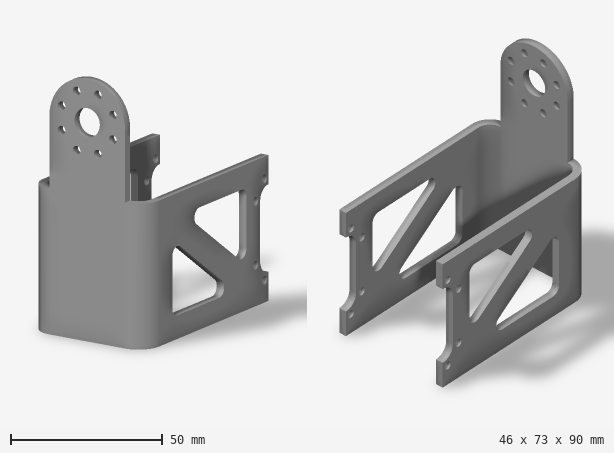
import cadquery as cq

width = 46.0
depth = 73.0
height = 90.0
thickness = 3.0
wall_height = 50.0
bend_radius = 8.0
inner_bend_radius = bend_radius - thickness

tab_width = width - 2 * bend_radius
tab_radius = tab_width / 2
tab_center_z = height - tab_radius
bore_diameter = 10.0
small_hole_diameter = 3.0
bolt_circle_radius = 11.0
bolt_count = 8

mid_z = wall_height / 2
window_corner_radius = 3.0
window_length = 24.8
window_height = 17.8
window_end_margin = 13.05
window_top_margin = 8.1
window_pair_center_y = 38.0

notch_depth = 4.95
notch_height = 30.0
notch_corner_radius = 4.9
wall_holes = [(2.4, 17.4), (7.7, 11.0)]


def make_channel():
    """U-shaped channel, open towards +Y."""
    outer = (
        cq.Workplane("XY")
        .box(width, depth, wall_height, centered=(True, False, False))
        .edges("|Z and <Y")
        .fillet(bend_radius)
    )
    inner = (
        cq.Workplane("XY")
        .box(width - 2 * thickness, depth, wall_height, centered=(True, False, False))
        .edges("|Z and <Y")
        .fillet(inner_bend_radius)
        .translate((0, thickness, 0))
    )
    return outer.cut(inner)


def make_tab():
    """Flat tab continuing the web upwards."""
    return (
        cq.Workplane("XZ")
        .moveTo(-tab_radius, 0)
        .lineTo(tab_radius, 0)
        .lineTo(tab_radius, tab_center_z)
        .threePointArc((0, height), (-tab_radius, tab_center_z))
        .close()
        .extrude(-thickness)
    )


def make_tab_holes():
    """Central bore and its ring of small holes, straddling the vertical axis."""
    tab_plane = cq.Workplane("XZ").center(0, tab_center_z)
    bore = tab_plane.circle(bore_diameter / 2).extrude(-thickness)
    start_angle = 180 / bolt_count
    ring = (
        tab_plane.polarArray(bolt_circle_radius, start_angle, 360, bolt_count)
        .circle(small_hole_diameter / 2)
        .extrude(-thickness)
    )
    return bore.union(ring)


def wall_plane():
    return cq.Workplane("YZ")


def make_windows():
    """Pair of triangular windows cutting through both side walls."""
    corner_y = depth - window_end_margin - window_corner_radius
    corner_z = wall_height - window_top_margin - window_corner_radius
    arc_centers = [
        (corner_y, corner_z),
        (corner_y - window_length, corner_z),
        (corner_y, corner_z - window_height),
    ]
    rear = (
        wall_plane()
        .polyline(arc_centers)
        .close()
        .offset2D(window_corner_radius)
        .extrude(width / 2, both=True)
    )
    pivot = (0, window_pair_center_y, mid_z)
    front = rear.rotate(pivot, (1, window_pair_center_y, mid_z), 180)
    return rear.union(front)


def make_notch():
    """Rounded notch in the free end of both side walls."""
    return (
        wall_plane()
        .center(depth, mid_z)
        .rect(2 * notch_depth, notch_height)
        .extrude(width / 2, both=True)
        .edges("|X")
        .fillet(notch_corner_radius)
    )


def make_wall_holes():
    """Small holes above and below the notch."""
    points = [
        (depth - from_end, mid_z + side * from_middle)
        for from_end, from_middle in wall_holes
        for side in (-1, 1)
    ]
    return (
        wall_plane()
        .pushPoints(points)
        .circle(small_hole_diameter / 2)
        .extrude(width / 2, both=True)
    )


result = (
    make_channel()
    .union(make_tab())
    .cut(make_tab_holes())
    .cut(make_windows())
    .cut(make_notch())
    .cut(make_wall_holes())
)